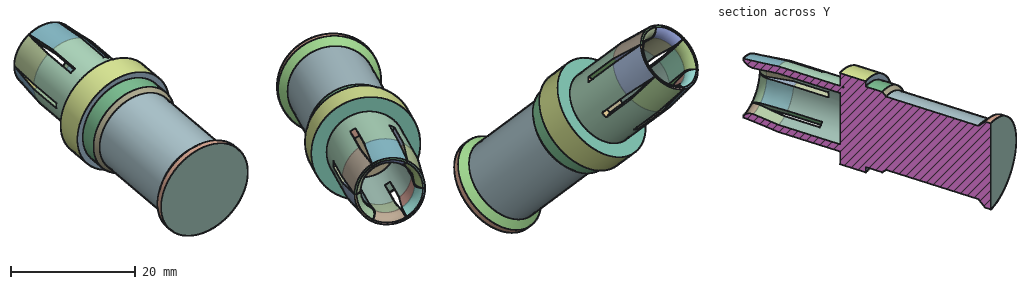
import cadquery as cq

length = 45.6
throat_x = 1.82
taper_end_x = 6.48
slot_end_x = 12.95
flange_front_x = 17.8
flange_back_x = 22.55
shoulder_end_x = 25.65
rim_front_x = 44.55

mouth_diameter = 11.67
socket_diameter = 13.0
flange_diameter = 18.0
shoulder_diameter = 15.9
barrel_diameter = 14.5
rim_diameter = 17.0

bore_diameter = 10.0
throat_diameter = 8.9
mouth_bore_diameter = 10.95
bore_depth = flange_front_x

slot_count = 6
slot_width = 1.0
slot_tip_gap = 0.05

shoulder_cone_length = (shoulder_diameter - barrel_diameter) / 2
rim_cone_length = (rim_diameter - barrel_diameter) / 2


def revolve_about_x(profile):
    return profile.close().revolve(360, (0, 0, 0), (1, 0, 0))


def make_body():
    """Solid turned body: tapered socket, flange, shoulder, barrel and end rim."""
    profile = (
        cq.Workplane("XY")
        .lineTo(0, mouth_diameter / 2)
        .lineTo(taper_end_x, socket_diameter / 2)
        .lineTo(flange_front_x, socket_diameter / 2)
        .lineTo(flange_front_x, flange_diameter / 2)
        .lineTo(flange_back_x, flange_diameter / 2)
        .lineTo(flange_back_x, shoulder_diameter / 2)
        .lineTo(shoulder_end_x, shoulder_diameter / 2)
        .lineTo(shoulder_end_x + shoulder_cone_length, barrel_diameter / 2)
        .lineTo(rim_front_x - rim_cone_length, barrel_diameter / 2)
        .lineTo(rim_front_x, rim_diameter / 2)
        .lineTo(length, rim_diameter / 2)
        .lineTo(length, 0)
    )
    return revolve_about_x(profile)


def make_bore():
    """Blind bore with a rounded lead-in that narrows to the throat of the bent fingers."""
    lead_in_height = (mouth_bore_diameter - throat_diameter) / 2
    lead_in_radius = (throat_x**2 + lead_in_height**2) / (2 * lead_in_height)
    profile = (
        cq.Workplane("XY")
        .lineTo(0, mouth_bore_diameter / 2)
        .radiusArc((throat_x, throat_diameter / 2), -lead_in_radius)
        .lineTo(taper_end_x, bore_diameter / 2)
        .lineTo(bore_depth, bore_diameter / 2)
        .lineTo(bore_depth, 0)
    )
    return revolve_about_x(profile)


def make_slot():
    """Radial slot on the +Y side that narrows to a fine gap at the mouth."""
    return (
        cq.Workplane("XZ")
        .moveTo(0, -slot_tip_gap / 2)
        .lineTo(taper_end_x, -slot_width / 2)
        .lineTo(slot_end_x, -slot_width / 2)
        .lineTo(slot_end_x, slot_width / 2)
        .lineTo(taper_end_x, slot_width / 2)
        .lineTo(0, slot_tip_gap / 2)
        .close()
        .extrude(-socket_diameter)
    )


result = make_body().cut(make_bore())
for index in range(slot_count):
    slot = make_slot().rotate((0, 0, 0), (1, 0, 0), index * 360 / slot_count)
    result = result.cut(slot)